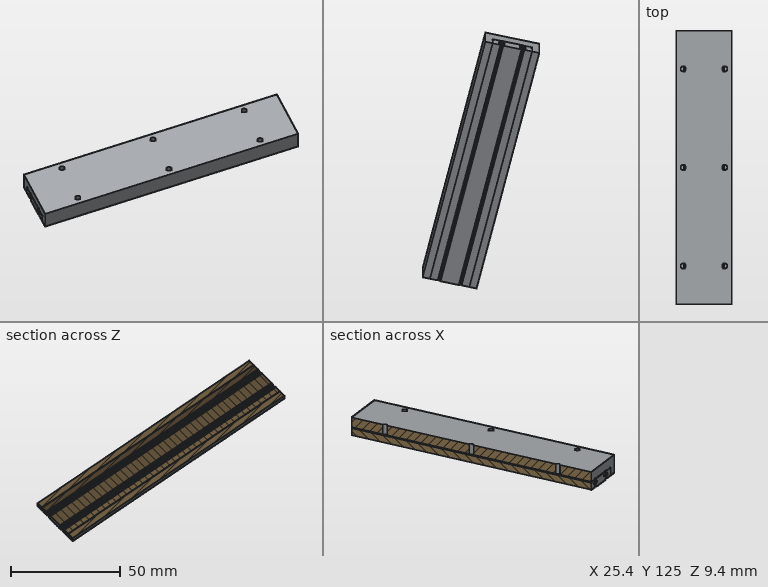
import cadquery as cq

length = 125.0
width = 25.4
height = 9.4
rail_drop = 0.2

channel_half_width = 9.2
channel_ceiling = 4.2
relief_depth = 0.2

center_half_width = 4.7
rail_gap = 0.4
rail_chamfer = 0.5
side_inner = center_half_width + rail_gap

groove_height = 2.4
groove_half_opening = 0.7
vee_depth = 0.6
slot_half_height = 0.2
groove_depth = 1.2

hole_diameter = 2.4
hole_spacing_x = 19.0
hole_spacing_y = 45.0
hole_columns = 2
hole_rows = 3
hole_depth = height - channel_ceiling


def extrude_along_y(outline):
    """Extrude a closed XZ outline over the full length, centered on Y = 0."""
    return cq.Workplane("XZ").polyline(outline).close().extrude(length / 2, both=True)


def mirrored(right_half):
    """Complete the right half of an outline, listed from the top down, into a symmetric one."""
    return right_half + [(-x, z) for x, z in reversed(right_half)]


def groove_points(face, inward):
    """Points of a groove cut into a rail face at X = face, from the top down; inward is its X direction."""
    vee_bottom = face + inward * vee_depth
    slot_bottom = face + inward * groove_depth
    return [
        (face, groove_height + groove_half_opening),
        (vee_bottom, groove_height + slot_half_height),
        (slot_bottom, groove_height + slot_half_height),
        (slot_bottom, groove_height - slot_half_height),
        (vee_bottom, groove_height - slot_half_height),
        (face, groove_height - groove_half_opening),
    ]


def make_table():
    """Channelled block with blind holes that open partly into the edges of the channel."""
    half_width = width / 2
    relief_top = channel_ceiling + relief_depth
    right_half = [
        (half_width, height),
        (half_width, rail_drop),
        (channel_half_width, rail_drop),
        (channel_half_width, channel_ceiling),
        (side_inner, channel_ceiling),
        (side_inner, relief_top),
    ]
    holes = (
        cq.Workplane("XY", origin=(0, 0, height))
        .rarray(hole_spacing_x, hole_spacing_y, hole_columns, hole_rows)
        .circle(hole_diameter / 2)
        .extrude(-hole_depth)
    )
    return extrude_along_y(mirrored(right_half)).cut(holes)


def make_center_rail():
    """Rail with chamfered edges and a groove in each flank."""
    right_half = [
        (center_half_width - rail_chamfer, channel_ceiling),
        (center_half_width, channel_ceiling - rail_chamfer),
        *groove_points(center_half_width, -1),
        (center_half_width, rail_chamfer),
        (center_half_width - rail_chamfer, 0),
    ]
    return extrude_along_y(mirrored(right_half))


def make_side_rail(side):
    """Side rail in the channel, on the +X (side = 1) or -X (side = -1) side of the center rail."""
    outline = [
        (side_inner, channel_ceiling),
        *groove_points(side_inner, 1),
        (side_inner, rail_drop + rail_chamfer),
        (side_inner + rail_chamfer, rail_drop),
        (channel_half_width, rail_drop),
        (channel_half_width, channel_ceiling - rail_chamfer),
        (channel_half_width - rail_chamfer, channel_ceiling),
    ]
    return extrude_along_y([(side * x, z) for x, z in outline])


table = make_table()
center_rail = make_center_rail()
side_rails = [make_side_rail(side).val() for side in (-1, 1)]

result = cq.Compound.makeCompound([table.val(), center_rail.val(), *side_rails])